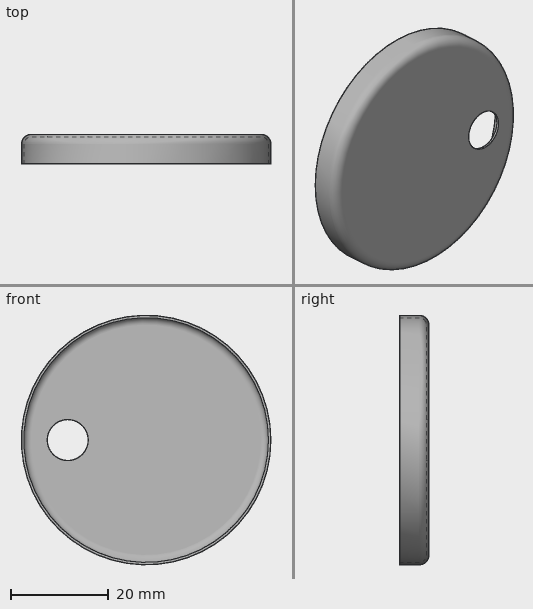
import cadquery as cq

outer_diameter = 51.0
height = 6.0
wall = 0.5
outer_edge_radius = 2.0
inner_edge_radius = outer_edge_radius - wall

hole_diameter = 8.3
hole_offset = 16.0


def rounded_disc(diameter, depth, edge_radius):
    """Disc from the rim plane (Y = 0) to Y = depth, rounded at its far edge."""
    disc = cq.Workplane("XZ").circle(diameter / 2).extrude(-depth)
    return disc.faces(">Y").edges().fillet(edge_radius)


shell = rounded_disc(outer_diameter, height, outer_edge_radius)
cavity = rounded_disc(outer_diameter - 2 * wall, height - wall, inner_edge_radius)
hole = (
    cq.Workplane("XZ")
    .center(-hole_offset, 0)
    .circle(hole_diameter / 2)
    .extrude(-height)
)

result = shell.cut(cavity).cut(hole)